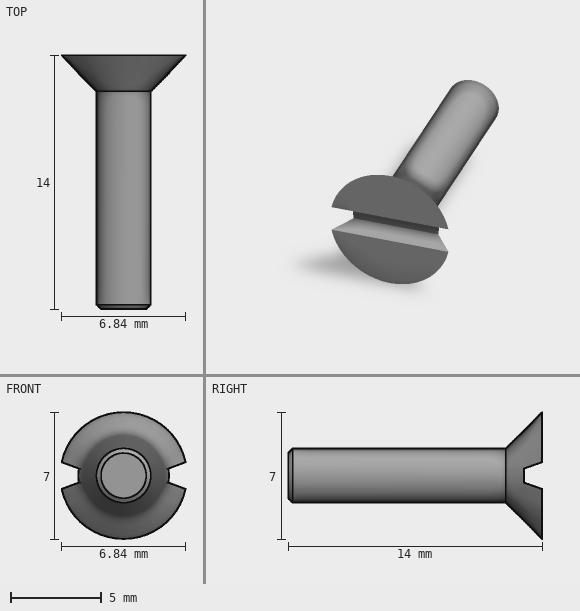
import cadquery as cq

length = 14.0
shank_diameter = 3.0
head_diameter = 7.0
tip_chamfer = 0.25

slot_depth = 1.0
slot_mouth_width = 1.47
slot_floor_width = 0.77

shank_radius = shank_diameter / 2
head_radius = head_diameter / 2
head_height = head_radius - shank_radius


def make_body():
    """Revolve the half profile of head, shank and chamfered tip about Y."""
    return (
        cq.Workplane("XY")
        .moveTo(0, 0)
        .lineTo(head_radius, 0)
        .lineTo(shank_radius, -head_height)
        .lineTo(shank_radius, -length + tip_chamfer)
        .lineTo(shank_radius - tip_chamfer, -length)
        .lineTo(0, -length)
        .close()
        .revolve(360, (0, 0), (0, 1))
    )


def make_slot():
    """Trapezoidal prism running along X across the whole head."""
    return (
        cq.Workplane("YZ")
        .polyline([
            (0, -slot_mouth_width / 2),
            (0, slot_mouth_width / 2),
            (-slot_depth, slot_floor_width / 2),
            (-slot_depth, -slot_floor_width / 2),
        ])
        .close()
        .extrude(head_diameter, both=True)
    )


result = make_body().cut(make_slot())